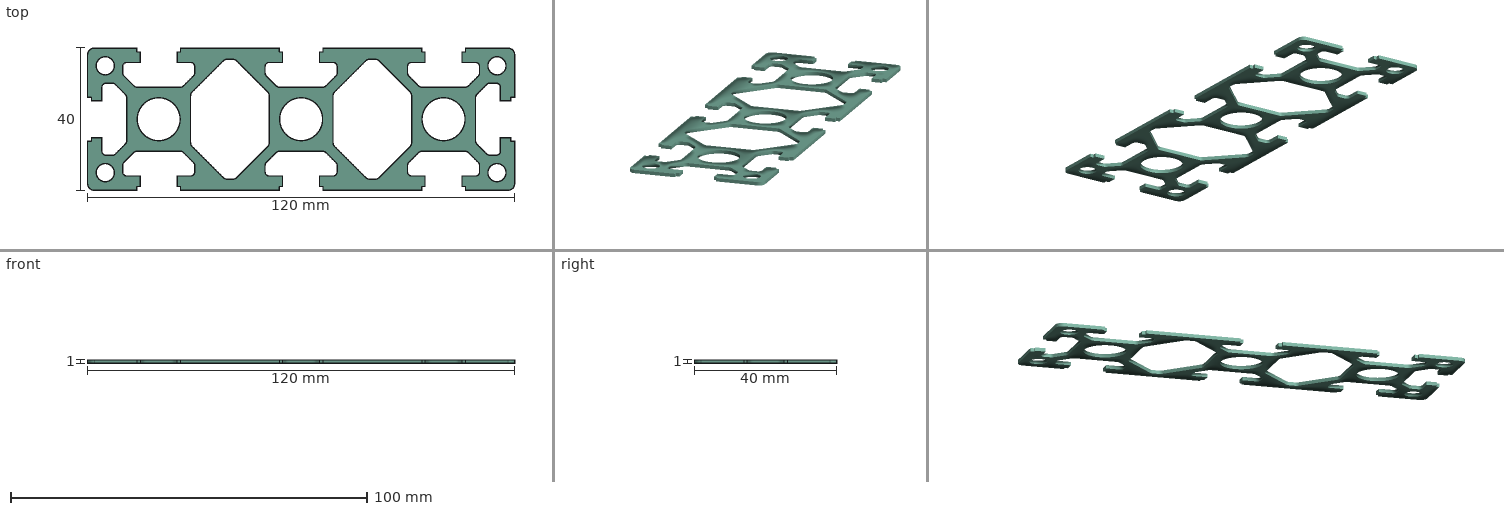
import cadquery as cq

length = 120.0
cell = length / 3
width = cell
thickness = 1.0
outer_corner_radius = 1.9

core_hole_diameter = 12.0
corner_hole_diameter = 5.0
corner_hole_inset = cell / 8

mouth_half_width = 5.2
step_half_width = 6.1
step_depth = 1.1
lip_depth = 4.1
pocket_half_width = 10.1
hub_half_width = 9.0
slot_depth = cell / 2 - hub_half_width
floor_half_width = 6.6
pocket_wall_radius = 1.1
pocket_floor_radius = 1.5

window_half_width = slot_depth
window_half_height = 16.8
window_flat_half_width = 1.5
window_corner_radius = 1.5

cell_centers = [-cell, 0, cell]
window_centers = [-cell / 2, cell / 2]


def make_plate():
    plate = cq.Workplane("XY").box(length, width, thickness, centered=(True, True, False))
    return plate.edges("|Z").fillet(outer_corner_radius)


def make_slot():
    """T-slot cutter of a cell centred on the origin, opening toward +Y."""
    edge = cell / 2
    floor = edge - slot_depth
    lip = edge - lip_depth
    flank_top = floor + pocket_half_width - floor_half_width
    pocket = (
        cq.Workplane("XY")
        .moveTo(-floor_half_width, floor)
        .lineTo(floor_half_width, floor)
        .lineTo(pocket_half_width, flank_top)
        .lineTo(pocket_half_width, lip)
        .lineTo(-pocket_half_width, lip)
        .lineTo(-pocket_half_width, flank_top)
        .close()
        .extrude(thickness)
        .edges("|Z and (<X or >X)")
        .fillet(pocket_wall_radius)
        .edges("|Z and <Y")
        .fillet(pocket_floor_radius)
    )
    mouth = cq.Workplane("XY").rect(2 * mouth_half_width, 2 * slot_depth).extrude(thickness)
    mouth = mouth.translate((0, edge, 0))
    step = cq.Workplane("XY").rect(2 * step_half_width, 2 * step_depth).extrude(thickness)
    step = step.translate((0, edge, 0))
    return pocket.union(mouth).union(step)


def make_window():
    """Window cutter centred on the origin, with 45 degree flanks."""
    side_half_height = window_half_height - (window_half_width - window_flat_half_width)
    corners = [
        (window_half_width, -side_half_height),
        (window_half_width, side_half_height),
        (window_flat_half_width, window_half_height),
        (-window_flat_half_width, window_half_height),
        (-window_half_width, side_half_height),
        (-window_half_width, -side_half_height),
        (-window_flat_half_width, -window_half_height),
        (window_flat_half_width, -window_half_height),
    ]
    window = cq.Workplane("XY").polyline(corners).close().extrude(thickness)
    return window.edges("|Z").fillet(window_corner_radius)


def turned(shape, angle):
    return shape.rotate((0, 0, 0), (0, 0, 1), angle)


result = make_plate()

slot = make_slot()
for x in cell_centers:
    for angle in (0, 180):
        result = result.cut(turned(slot, angle).translate((x, 0, 0)))
for x, angle in ((-cell, 90), (cell, -90)):
    result = result.cut(turned(slot, angle).translate((x, 0, 0)))

window = make_window()
for x in window_centers:
    result = result.cut(window.translate((x, 0, 0)))

core_holes = (
    cq.Workplane("XY")
    .pushPoints([(x, 0) for x in cell_centers])
    .circle(core_hole_diameter / 2)
    .extrude(thickness)
)
corner_holes = (
    cq.Workplane("XY")
    .rect(length - 2 * corner_hole_inset, width - 2 * corner_hole_inset, forConstruction=True)
    .vertices()
    .circle(corner_hole_diameter / 2)
    .extrude(thickness)
)
result = result.cut(core_holes).cut(corner_holes)